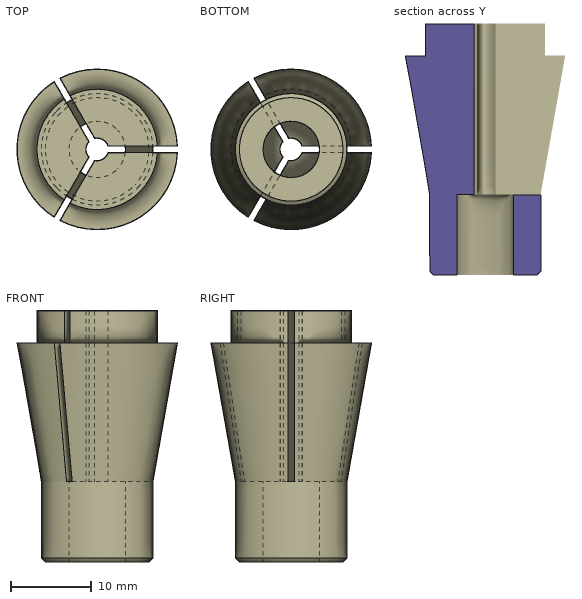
import cadquery as cq

total_height = 31.3
head_diameter = 20.0
shank_diameter = 13.9
nose_diameter = 15.0

shank_height = 10.02
nose_height = 4.0
head_top = total_height - nose_height
end_chamfer = 0.5

grip_bore_diameter = 2.8
shank_bore_diameter = 7.0
slot_width = 0.8
slot_count = 3


def collet_body():
    """Chamfered shank, flaring cone and nose, revolved about Z."""
    shank_radius = shank_diameter / 2
    head_radius = head_diameter / 2
    nose_radius = nose_diameter / 2
    half_profile = [
        (0, 0),
        (shank_radius - end_chamfer, 0),
        (shank_radius, end_chamfer),
        (shank_radius, shank_height),
        (head_radius, head_top),
        (nose_radius, head_top),
        (nose_radius, total_height),
        (0, total_height),
    ]
    profile = cq.Workplane("XZ").polyline(half_profile).close()
    return profile.revolve(360, (0, 0), (0, 1))


def bore(diameter, height):
    """Round hole on the axis, from the shank end up to the given height."""
    return cq.Workplane("XY").circle(diameter / 2).extrude(height)


def jaw_slot(angle):
    """Radial slot from the axis outwards, cut from the nose down to the top of the shank."""
    slot_height = total_height - shank_height
    slot = (
        cq.Workplane("XY", origin=(0, 0, shank_height))
        .box(head_diameter, slot_width, slot_height, centered=(False, True, False))
    )
    return slot.rotate((0, 0, 0), (0, 0, 1), angle)


result = collet_body()
result = result.cut(bore(grip_bore_diameter, total_height))
result = result.cut(bore(shank_bore_diameter, shank_height))
for index in range(slot_count):
    result = result.cut(jaw_slot(index * 360 / slot_count))